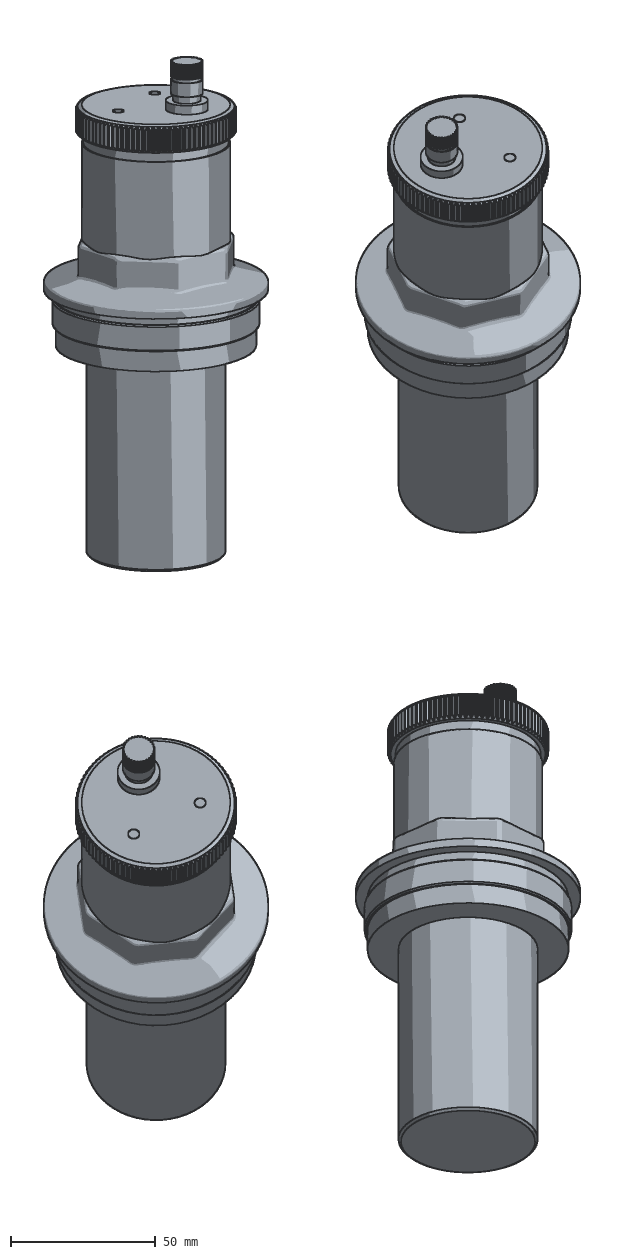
import cadquery as cq
import math

tube_radius = 24.0
tube_chamfer = 0.9
tube_top = 74.9

collar_radius = 34.8
ring_radius = 35.8
ring_bottom = 82.2
ring_top = 91.6
ring_chamfer = 0.5
flange_radius = 38.9
flange_bottom = 94.9
flange_edge_top = 98.0
flange_edge_fillet = 1.0
flange_slope = math.radians(15)

octagon_sides = 8
octagon_apothem = 26.0
octagon_corner_fillet = 3.4
octagon_top = 113.2
octagon_top_fillet = 1.8
octagon_base_fillet = 1.5

housing_radius = 25.7
housing_top = 147.5
cap_neck_radius = 25.1
cap_bottom = 151.0
cap_top = 161.0
cap_radius = 27.8
cap_face_radius = 25.7
cap_shoulder_radius = 27.1
cap_shoulder_drop = 0.5
cap_top_bevel = 1.6
cap_bottom_bevel = 1.0
cap_teeth = 90
cap_tooth_depth = 0.7

marker_x = -7.7
marker_y = 13.2
marker_radius = 2.0
marker_depth = 0.2

connector_x = 12.1
connector_base_radius = 7.3
connector_base_top = 164.2
connector_neck_radius = 4.8
connector_collar_bottom = 166.7
connector_collar_top = 171.7
connector_radius = 5.5
knob_neck_radius = 5.2
knob_bottom = 173.0
knob_top = 178.3
knob_groove_bottom = 175.6
knob_groove_top = 176.2
knob_teeth = 30
knob_tooth_depth = 0.4

overlap = 0.9


def cylinder(radius, bottom, top):
    """Upright cylinder on the Z axis between two heights."""
    return cq.Workplane("XY").workplane(offset=bottom).circle(radius).extrude(top - bottom)


def knurled_disc(radius, depth, teeth, bottom, top):
    """Upright disc whose rim carries straight teeth with sloping flanks."""
    root = radius - depth
    quarter_pitch = math.pi / (2 * teeth)
    points = []
    for index in range(teeth):
        for step, reach in enumerate((root, root, radius, radius)):
            angle = (4 * index + step) * quarter_pitch
            points.append((reach * math.cos(angle), reach * math.sin(angle)))
    return cq.Workplane("XY").workplane(offset=bottom).polyline(points).close().extrude(top - bottom)


def make_tube():
    tube = cylinder(tube_radius, 0, tube_top + overlap)
    return tube.faces("<Z").chamfer(tube_chamfer)


def make_collar():
    body = cylinder(collar_radius, tube_top, flange_bottom + overlap)
    ring = cylinder(ring_radius, ring_bottom, ring_top).edges().chamfer(ring_chamfer)
    return body.union(ring)


def make_flange():
    """Flange with a conical top that rises to the housing radius."""
    cone_top = flange_edge_top + (flange_radius - housing_radius) * math.tan(flange_slope)
    profile = (
        cq.Workplane("XZ")
        .moveTo(0, flange_bottom)
        .lineTo(flange_radius, flange_bottom)
        .lineTo(flange_radius, flange_edge_top)
        .lineTo(housing_radius, cone_top)
        .lineTo(0, cone_top)
        .close()
    )
    flange = profile.revolve(360, (0, 0, 0), (0, 1, 0))
    rim_edges = flange.edges("%CIRCLE").edges(cq.selectors.RadiusNthSelector(-1))
    return rim_edges.edges(">Z").fillet(flange_edge_fillet)


def make_octagon():
    """Wrench octagon with rounded corners and a rounded top edge."""
    across_corners = 2 * octagon_apothem / math.cos(math.pi / octagon_sides)
    height = octagon_top - flange_edge_top
    start = cq.Workplane("XY").workplane(offset=flange_edge_top)
    prism = start.polygon(octagon_sides, across_corners).extrude(height)
    prism = prism.edges("|Z").fillet(octagon_corner_fillet)
    return prism.faces(">Z").edges().fillet(octagon_top_fillet)


def make_cap():
    """Knurled cap with a double bevel above, a single bevel below and two round recesses."""
    profile = (
        cq.Workplane("XZ")
        .moveTo(0, cap_bottom)
        .lineTo(cap_radius - cap_bottom_bevel, cap_bottom)
        .lineTo(cap_radius, cap_bottom + cap_bottom_bevel)
        .lineTo(cap_radius, cap_top - cap_top_bevel)
        .lineTo(cap_shoulder_radius, cap_top - cap_shoulder_drop)
        .lineTo(cap_face_radius, cap_top)
        .lineTo(0, cap_top)
        .close()
    )
    outline = profile.revolve(360, (0, 0, 0), (0, 1, 0))
    teeth = knurled_disc(cap_radius, cap_tooth_depth, cap_teeth, cap_bottom, cap_top)
    cap = outline.intersect(teeth)
    markers = (
        cq.Workplane("XY")
        .workplane(offset=cap_top - marker_depth)
        .pushPoints([(marker_x, -marker_y), (marker_x, marker_y)])
        .circle(marker_radius)
        .extrude(marker_depth)
    )
    return cap.cut(markers)


def make_connector():
    connector = cylinder(connector_base_radius, cap_top - overlap, connector_base_top)
    connector = connector.union(cylinder(connector_neck_radius, cap_top, connector_collar_bottom))
    connector = connector.union(cylinder(connector_radius, connector_collar_bottom, connector_collar_top))
    connector = connector.union(cylinder(knob_neck_radius, connector_collar_bottom, knob_top - overlap))
    for bottom, top in ((knob_bottom, knob_groove_bottom), (knob_groove_top, knob_top)):
        band = knurled_disc(connector_radius, knob_tooth_depth, knob_teeth, bottom, top)
        connector = connector.union(band)
    return connector.translate((connector_x, 0, 0))


base = make_flange().union(make_octagon())
corner_zone_bottom = flange_edge_top + octagon_base_fillet
corner_zone_top = (flange_edge_top + octagon_top) / 2
corner_zone = cq.selectors.BoxSelector(
    (-flange_radius, -flange_radius, corner_zone_bottom),
    (flange_radius, flange_radius, corner_zone_top),
)
base = base.edges(corner_zone).edges("not |Z").fillet(octagon_base_fillet)

housing = cylinder(housing_radius, octagon_top - 2 * octagon_top_fillet, housing_top)
cap_neck = cylinder(cap_neck_radius, housing_top - overlap, cap_bottom + overlap)

result = make_tube().union(make_collar()).union(base)
result = result.union(housing).union(cap_neck).union(make_cap()).union(make_connector())